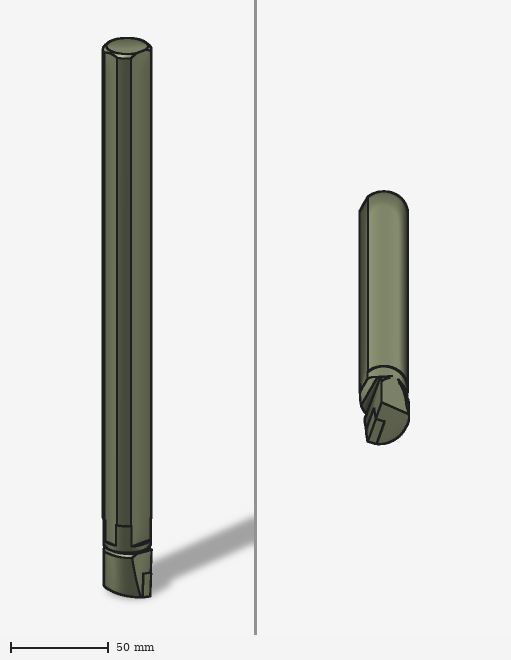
import cadquery as cq
import math

TOTAL_LENGTH = 301.2
SHANK_DIAMETER = 25.0
SHANK_RADIUS = SHANK_DIAMETER / 2
SHANK_BOTTOM = 39.5
END_CHAMFER = 1.8
NECK_DIAMETER = 24.5
NECK_RADIUS = NECK_DIAMETER / 2
ACROSS_FLATS = 23.2
FLAT_Y = ACROSS_FLATS / 2
FLAT_X = 10.2
FLAT_BOTTOM = 28.0

HEAD_TOP = 24.7
HEAD_BEVEL = 1.5
CORE_RADIUS = 11.7
HEAD_STEP = 2.0
HEAD_FRONT_Y = -(FLAT_Y + HEAD_STEP)
HEAD_FLAT_WIDTH = 2.5
HEAD_LEFT_RADIUS = 7.8
HEAD_RIGHT_RADIUS = 14.5

RELIEF_TOP = 27.5
RELIEF_ANGLE = 16.0

TIP_X = 17.0
TIP_Y = 0.3
TIP_Z = -0.07
RAKE_SLOPE_X = -0.155
RAKE_SLOPE_Z = 0.11
EDGE_LEAD_ANGLE = 5.0
INSERT_ANGLE = 80.0
INSERT_EDGE = 13.0
INSERT_THICKNESS = 4.8
NOSE_RADIUS = 0.8
HOLDER_SETBACK = 0.4

RUNOUT_BOTTOM_Y = 8.5
RUNOUT_BOTTOM_Z = HEAD_TOP
RUNOUT_TOP_Z = 29.8

REACH = 90.5


def make_rake_plane():
    """Plane at the cutting tip: local X runs along the end edge, local Y up the side."""
    lead = math.radians(EDGE_LEAD_ANGLE)
    edge_x = -math.cos(lead)
    edge_z = math.sin(lead)
    edge_y = RAKE_SLOPE_X * edge_x + RAKE_SLOPE_Z * edge_z
    return cq.Plane(
        origin=(TIP_X, TIP_Y, TIP_Z),
        xDir=(edge_x, edge_y, edge_z),
        normal=(-RAKE_SLOPE_X, 1, -RAKE_SLOPE_Z),
    )


RAKE_PLANE = make_rake_plane()


def rhombus(edge, setback):
    """Rhombus on the rake plane, its sharp corner moved inward by an equal setback of both sides."""
    angle = math.radians(INSERT_ANGLE)
    corner_x = setback / math.tan(angle / 2)
    rise_x = edge * math.cos(angle)
    rise_y = edge * math.sin(angle)
    return (
        cq.Workplane(RAKE_PLANE)
        .moveTo(corner_x, setback)
        .line(edge, 0)
        .line(rise_x, rise_y)
        .line(-edge, 0)
        .close()
    )


def make_insert():
    blank = rhombus(INSERT_EDGE, 0).extrude(-INSERT_THICKNESS)
    normal = RAKE_PLANE.zDir
    return blank.edges(cq.selectors.ParallelDirSelector(normal)).fillet(NOSE_RADIUS)


def make_bar():
    """Shank, neck and head core with the front, back and side flats."""
    shank = (
        cq.Workplane("XY", origin=(0, 0, SHANK_BOTTOM))
        .circle(SHANK_RADIUS)
        .extrude(TOTAL_LENGTH - SHANK_BOTTOM)
        .faces(">Z")
        .chamfer(END_CHAMFER)
    )
    neck = (
        cq.Workplane("XY", origin=(0, 0, HEAD_TOP))
        .circle(NECK_RADIUS)
        .extrude(SHANK_BOTTOM - HEAD_TOP)
    )
    core = cq.Workplane("XY").circle(CORE_RADIUS).extrude(HEAD_TOP)
    flats = (
        cq.Workplane("XY", origin=(0, 0, FLAT_BOTTOM))
        .rect(2 * REACH, 2 * FLAT_Y)
        .extrude(TOTAL_LENGTH)
        .intersect(
            cq.Workplane("XY")
            .center(FLAT_X - REACH, 0)
            .rect(2 * REACH, 2 * REACH)
            .extrude(2 * TOTAL_LENGTH)
        )
    )
    below_flats = cq.Workplane("XY").rect(2 * REACH, 2 * REACH).extrude(FLAT_BOTTOM)
    return shank.union(neck).union(core).intersect(flats.union(below_flats))


def make_head():
    """Vertical prism: left and right rounds joined by the narrow front flat, bevelled on top."""
    left_y = HEAD_FRONT_Y + HEAD_LEFT_RADIUS
    right_y = HEAD_FRONT_Y + HEAD_RIGHT_RADIUS
    right_x = HEAD_FLAT_WIDTH + HEAD_RIGHT_RADIUS
    outline = (
        cq.Workplane("XY")
        .moveTo(0, HEAD_FRONT_Y)
        .lineTo(HEAD_FLAT_WIDTH, HEAD_FRONT_Y)
        .radiusArc((right_x, right_y), -HEAD_RIGHT_RADIUS)
        .lineTo(right_x, NECK_RADIUS / 2)
        .lineTo(-HEAD_LEFT_RADIUS, NECK_RADIUS / 2)
        .lineTo(-HEAD_LEFT_RADIUS, left_y)
        .radiusArc((0, HEAD_FRONT_Y), -HEAD_LEFT_RADIUS)
        .close()
    )
    return outline.extrude(HEAD_TOP).faces(">Z").chamfer(HEAD_BEVEL)


def trim_sides(body):
    """Cut the end and the right side of the head parallel to the insert edges."""
    side_wedge = rhombus(REACH, HOLDER_SETBACK).extrude(REACH, both=True)
    head_zone = cq.Workplane("XY").rect(2 * REACH, 2 * REACH).extrude(HEAD_TOP)
    return body.cut(head_zone.cut(side_wedge))


def cut_left_relief(body):
    run = RELIEF_TOP * math.tan(math.radians(RELIEF_ANGLE))
    relief = (
        cq.Workplane("XZ")
        .moveTo(-NECK_RADIUS, RELIEF_TOP)
        .lineTo(-NECK_RADIUS + run, 0)
        .lineTo(-REACH, 0)
        .lineTo(-REACH, RELIEF_TOP)
        .close()
        .extrude(REACH, both=True)
    )
    return body.cut(relief)


def cut_chip_clearance(body):
    """Remove what lies above the rake plane and below the sloped run-out into the neck."""
    above_rake = cq.Workplane(RAKE_PLANE).rect(2 * REACH, 2 * REACH).extrude(REACH)
    below_runout = (
        cq.Workplane("YZ")
        .moveTo(FLAT_Y, RUNOUT_TOP_Z)
        .lineTo(RUNOUT_BOTTOM_Y, RUNOUT_BOTTOM_Z)
        .lineTo(-REACH, RUNOUT_BOTTOM_Z)
        .lineTo(-REACH, -REACH)
        .lineTo(REACH, -REACH)
        .lineTo(REACH, RUNOUT_TOP_Z)
        .close()
        .extrude(REACH, both=True)
    )
    return body.cut(above_rake.intersect(below_runout))


def make_holder(insert):
    body = make_bar().union(make_head())
    body = trim_sides(body)
    body = cut_left_relief(body)
    body = cut_chip_clearance(body)
    return body.cut(insert)


insert = make_insert()
holder = make_holder(insert)

result = cq.Compound.makeCompound([holder.solids().val(), insert.solids().val()])